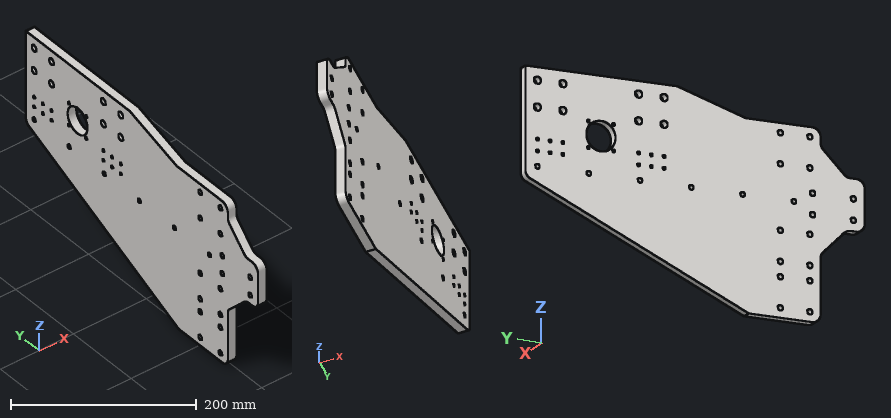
import cadquery as cq

thickness = 12.0
length = 402.5
height = 245.0

top_edge_end_y = 222.0
shoulder_start_y = 141.0
shoulder_z = 219.5
shoulder_y = 52.5
tab_top_z = 168.0
tab_bottom_z = 108.5
upper_slope_z = 199.0
lower_slope_z = 77.2
bottom_edge_end_y = 137.5
back_corner_z = 121.0
corner_radius = 10.0

pilot_diameter = 3.0
row_diameter = 5.2
bracket_diameter = 6.0
mount_diameter = 8.0
bore_diameter = 34.0

mount_pitch = 30.0
mount_group_pitch = 120.0
mount_y = 237.8
mount_z = 200.0
pilot_pitch_y = mount_pitch / 2
pilot_pitch_z = 13.3
pilot_z = 150.5
bore_y = 312.5
bore_z = 177.0
bore_screw_pitch = 29.8
row_count = 6
row_pitch = 60.7
row_start_y = 84.0
row_z = 133.0
bracket_pitch = 35.0
bracket_y = 65.0
bracket_bottoms = [11.3, 63.5, 173.5]
tab_hole_pitch_y = 48.3
tab_hole_pitch_z = 24.0
tab_hole_y = 13.5
tab_hole_z = 121.0


def hole_grid(y, z, pitch_y, pitch_z, columns=2, rows=2):
    """Grid of hole centres growing from its low corner (y, z)."""
    return [
        (y + column * pitch_y, z + row * pitch_z)
        for column in range(columns)
        for row in range(rows)
    ]


def drill(plate, centres, diameter):
    """Cut round holes right through the plate."""
    cutters = cq.Workplane("YZ").pushPoints(centres).circle(diameter / 2).extrude(thickness)
    return plate.cut(cutters)


def round_corners(plate, corners, radius):
    """Fillet the through-thickness edges at the given (y, z) corners."""
    for y, z in corners:
        edge = cq.selectors.NearestToPointSelector((thickness / 2, y, z))
        plate = plate.edges("|X").edges(edge).fillet(radius)
    return plate


tab_top_root = (shoulder_y - (upper_slope_z - tab_top_z), tab_top_z)
tab_bottom_root = (shoulder_y - (tab_bottom_z - lower_slope_z), tab_bottom_z)
tab_corners = [(0, tab_top_z), (0, tab_bottom_z)]
shoulder_corners = [(shoulder_y, shoulder_z), (shoulder_y, 0)]
slope_corners = [(shoulder_y, upper_slope_z), (shoulder_y, lower_slope_z)]
back_corner = (length, back_corner_z)

outline = [
    (length, height),
    (top_edge_end_y, height),
    (shoulder_start_y, shoulder_z),
    shoulder_corners[0],
    slope_corners[0],
    tab_top_root,
    tab_corners[0],
    tab_corners[1],
    tab_bottom_root,
    slope_corners[1],
    shoulder_corners[1],
    (bottom_edge_end_y, 0),
    back_corner,
]
plate = cq.Workplane("YZ").polyline(outline).close().extrude(thickness)

rounded = tab_corners + shoulder_corners + slope_corners + [tab_top_root, tab_bottom_root, back_corner]
plate = round_corners(plate, rounded, corner_radius)

for group in range(2):
    group_y = mount_y + group * mount_group_pitch
    plate = drill(plate, hole_grid(group_y, mount_z, mount_pitch, mount_pitch), mount_diameter)
    pilots = hole_grid(group_y, pilot_z, pilot_pitch_y, pilot_pitch_z, columns=3)
    plate = drill(plate, pilots, pilot_diameter)

plate = drill(plate, [(bore_y, bore_z)], bore_diameter)
screw_y = bore_y - bore_screw_pitch / 2
screw_z = bore_z - bore_screw_pitch / 2
bore_screws = hole_grid(screw_y, screw_z, bore_screw_pitch, bore_screw_pitch)
plate = drill(plate, bore_screws, pilot_diameter)

row_holes = hole_grid(row_start_y, row_z, row_pitch, 0, columns=row_count, rows=1)
plate = drill(plate, row_holes, row_diameter)

for bottom_z in bracket_bottoms:
    bracket_holes = hole_grid(bracket_y, bottom_z, bracket_pitch, bracket_pitch)
    plate = drill(plate, bracket_holes, bracket_diameter)

tab_holes = hole_grid(tab_hole_y, tab_hole_z, tab_hole_pitch_y, tab_hole_pitch_z)
plate = drill(plate, tab_holes, bracket_diameter)

result = plate